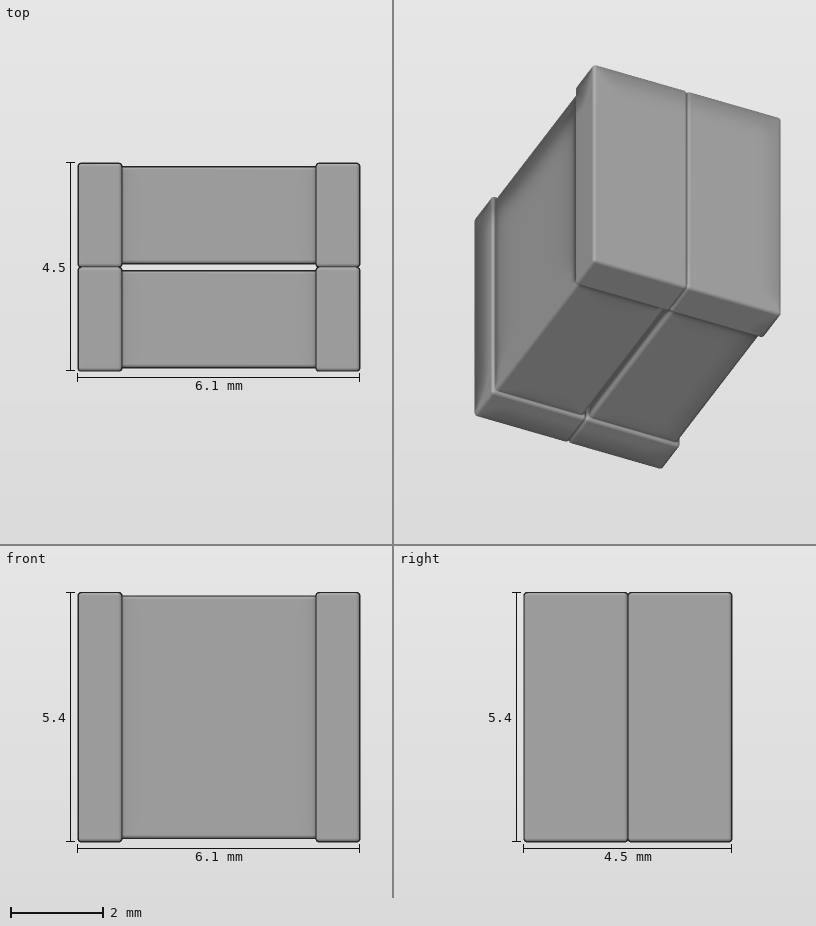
import cadquery as cq

length = 6.1
depth = 4.5
height = 5.4

chip_count = 2
terminal_length = 0.95
edge_radius = 0.075
ceramic_step = 0.075

chip_depth = depth / chip_count
ceramic_length = length - 2 * terminal_length
ceramic_depth = chip_depth - 2 * ceramic_step
ceramic_height = height - 2 * ceramic_step
terminal_offset = (length - terminal_length) / 2
chip_centers = [(i + 0.5) * chip_depth - depth / 2 for i in range(chip_count)]


def make_ceramic(center_y):
    """Ceramic block of one chip, with its long edges rounded, between the terminals."""
    block = cq.Workplane("XY").box(ceramic_length, ceramic_depth, ceramic_height)
    return block.edges("|X").fillet(edge_radius).translate((0, center_y, 0))


def make_terminal(center_x):
    """End terminal: one rounded pad per chip, joined where the pads meet."""
    pad = cq.Workplane("XY").box(terminal_length, chip_depth, height).edges().fillet(edge_radius)
    terminal = pad.translate((center_x, chip_centers[0], 0))
    for center_y in chip_centers[1:]:
        terminal = terminal.union(pad.translate((center_x, center_y, 0)))
    return terminal


ceramics = [make_ceramic(center_y) for center_y in chip_centers]
terminals = [make_terminal(center_x) for center_x in (-terminal_offset, terminal_offset)]

result = cq.Compound.makeCompound([body.val() for body in ceramics + terminals])